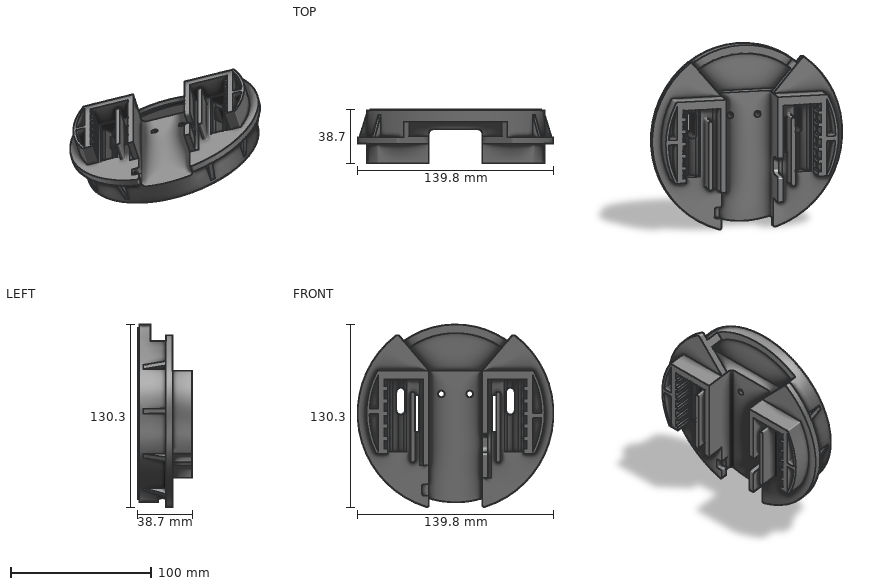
import cadquery as cq
import math

BLOCK_FRONT = -14.0
LEDGE_FRONT = -0.3
FLANGE_BACK = 4.7
FLANGE_INNER_BACK = 5.4
CHANNEL_FLOOR = 10.2
RIM_CUT_BACK = 15.6
RECESS_FLOOR = 18.0
BODY_BACK = 23.8
LIP_BACK = 24.71

FLANGE_RADIUS = 69.915
BODY_RADIUS = 63.5
LIP_RADIUS = 61.1
RECESS_RADIUS = 57.3

CHANNEL_HALF_WIDTH = 19.0
CHANNEL_FILLET = 3.0
CHANNEL_TOP = 30.6
OPENING_ANGLE = 49.6
UPPER_TIP_RADIUS = 2.0
LOWER_TIP_RADIUS = 1.5
BEYOND = 100.0
SELECT_MARGIN = 0.1

PIN_HOLE_DIAMETER = 4.6
PIN_HOLE_X = 10.1
PIN_HOLE_Z = 13.9

GUSSET_THICKNESS = 3.5
GUSSET_FOOT_RADIUS = 68.5
GUSSET_TIP_DEPTH = 20.8
GUSSET_SPACING = 30.0
GUSSET_OFFSET = -1.5
RIGHT_GUSSET_STEPS = [-2, -1, 0, 1]
LEFT_GUSSET_STEPS = [5, 6, 7, 8]
GUSSET_OVERLAP = 2.0

HOUSING_BOTTOM = -28.6
HOUSING_CORNER_RADIUS = 1.2
INNER_WALL_OUTSIDE = 22.95
POCKET_TOP = 24.3
RACK_FACE = 48.5
LEDGE_WIDTH = 2.6
LEFT_WALL_BOTTOM = -36.9
RIGHT_WALL_BOTTOM = -45.9

GAP_COUNT = 6
GAP_PITCH = 8.9
GAP_HEIGHT = 5.9
GAP_DEPTH = 2.2
LOWEST_GAP_BOTTOM = -25.3

CAVITY_INNER_X = 55.0
CAVITY_OUTER_RADIUS = 61.4
CAVITY_FILLET = 1.0
RIGHT_CROSSBAR_Z = -1.5
LEFT_CROSSBAR_Z = 1.5
CROSSBAR_THICKNESS = 3.4
CAVITY_TOP = 28.5
CAVITY_BOTTOM = -27.8

FIN_X = 30.45
FIN_THICKNESS = 3.1
FIN_TOP = 15.4
FIN_BOTTOM = -35.0
FIN_BASE_FILLET = 1.1

WINDOW_INNER_X = 26.3
WINDOW_HALF_HEIGHT = 12.9

TROUGH_X = 40.85
TROUGH_WIDTH = 12.4
TROUGH_TOP = 23.5
TROUGH_BOTTOM = -27.5
TROUGH_DEPTH = FLANGE_BACK
GROOVE_HALF_WIDTH = 4.05
GROOVE_BOTTOM = TROUGH_DEPTH + GROOVE_HALF_WIDTH

LONG_HOLE_X = 39.1
LONG_HOLE_WIDTH = 6.0
LONG_HOLE_TOP = 18.3
LONG_HOLE_BOTTOM = -0.8

NOTCH_CENTRE_Z = -21.4
NOTCH_HALF_WIDTH = 6.4
NOTCH_FLOOR_RADIUS = 4.4
NOTCH_MOUTH_RADIUS = 2.2

HOOK_OUTER_X = 24.0
HOOK_TOP = -50.5
HOOK_BOTTOM = -58.6
HOOK_RADIUS = 1.5
HOOK_MOUTH_RADIUS = 1.0
HOOK_FLOOR_RADIUS = 1.4


def plane_at(depth):
    return cq.Workplane("XZ", origin=(0, depth, 0))


def box_between(x_a, x_b, z_a, z_b, front, back):
    centre = ((x_a + x_b) / 2, (z_a + z_b) / 2)
    return plane_at(back).center(*centre).rect(abs(x_b - x_a), abs(z_b - z_a)).extrude(back - front)


def disc(radius, front, back):
    return plane_at(back).circle(radius).extrude(back - front)


def upright_slot(x, top, bottom, width, front, back):
    sketch = plane_at(back).center(x, (top + bottom) / 2)
    return sketch.slot2D(top - bottom, width, 90).extrude(back - front)


def within(low, high):
    """Select edges whose centres lie in the box from low to high."""
    low = tuple(value - SELECT_MARGIN for value in low)
    high = tuple(value + SELECT_MARGIN for value in high)
    return cq.selectors.BoxSelector(low, high)


def mirrored(shape):
    return shape.mirror("YZ")


def on_both_sides(shape):
    return shape.union(mirrored(shape))


def opening(front, back):
    """Channel-wide gap that spreads into a V above the channel top."""
    rise = BEYOND * math.tan(math.radians(OPENING_ANGLE))
    outline = [
        (CHANNEL_HALF_WIDTH, CHANNEL_TOP),
        (CHANNEL_HALF_WIDTH + BEYOND, CHANNEL_TOP + rise),
        (-CHANNEL_HALF_WIDTH - BEYOND, CHANNEL_TOP + rise),
        (-CHANNEL_HALF_WIDTH, CHANNEL_TOP),
    ]
    return plane_at(back).polyline(outline).close().extrude(back - front)


def channel():
    cutter = box_between(
        -CHANNEL_HALF_WIDTH, CHANNEL_HALF_WIDTH, -BEYOND, CHANNEL_TOP, BLOCK_FRONT, CHANNEL_FLOOR
    )
    return cutter.edges("|Z and >Y").fillet(CHANNEL_FILLET)


def flange():
    plate = disc(FLANGE_RADIUS, 0, FLANGE_BACK).cut(opening(0, FLANGE_BACK))
    plate = plate.cut(channel())
    plate = plate.edges("|Y").edges(">Z or >>Z[-2]").fillet(UPPER_TIP_RADIUS)
    return plate.edges("|Y").edges("<Z").fillet(LOWER_TIP_RADIUS)


def body():
    solid = disc(BODY_RADIUS, 0, BODY_BACK).union(disc(LIP_RADIUS, BODY_BACK, LIP_BACK))
    recess = disc(RECESS_RADIUS, FLANGE_INNER_BACK, RECESS_FLOOR)
    recess = recess.intersect(
        box_between(-BEYOND, BEYOND, CHANNEL_TOP, BEYOND, FLANGE_INNER_BACK, RECESS_FLOOR)
    )
    rim_cut = opening(0, RIM_CUT_BACK)
    return solid.cut(recess).cut(rim_cut).cut(channel())


def gussets():
    profile = [
        (BODY_RADIUS - GUSSET_OVERLAP, FLANGE_BACK),
        (GUSSET_FOOT_RADIUS, FLANGE_BACK),
        (BODY_RADIUS, GUSSET_TIP_DEPTH),
        (BODY_RADIUS - GUSSET_OVERLAP, GUSSET_TIP_DEPTH),
    ]
    gusset = cq.Workplane("XY").polyline(profile).close().extrude(GUSSET_THICKNESS / 2, both=True)
    ribs = cq.Workplane("XY")
    for step in RIGHT_GUSSET_STEPS + LEFT_GUSSET_STEPS:
        angle = GUSSET_OFFSET + step * GUSSET_SPACING
        ribs = ribs.add(gusset.rotate((0, 0, 0), (0, 1, 0), -angle))
    return ribs.combine()


def crescent_cavities(crossbar_z):
    crescent = disc(CAVITY_OUTER_RADIUS, BLOCK_FRONT, 0)
    cavities = cq.Workplane("XY")
    half_bar = CROSSBAR_THICKNESS / 2
    spans = [
        (CAVITY_BOTTOM, crossbar_z - half_bar, ">Z"),
        (crossbar_z + half_bar, CAVITY_TOP, "<Z"),
    ]
    for bottom, top, crossbar_side in spans:
        window = box_between(CAVITY_INNER_X, BEYOND, bottom, top, BLOCK_FRONT, 0)
        cavity = crescent.intersect(window)
        cavities = cavities.add(cavity.faces(crossbar_side).edges("|Y").fillet(CAVITY_FILLET))
    return cavities.combine()


def rack_gaps():
    gaps = cq.Workplane("XY")
    for index in range(GAP_COUNT):
        bottom = LOWEST_GAP_BOTTOM + index * GAP_PITCH
        top = min(bottom + GAP_HEIGHT, POCKET_TOP)
        gaps = gaps.add(
            box_between(RACK_FACE, RACK_FACE + GAP_DEPTH, bottom, top, BLOCK_FRONT, LEDGE_FRONT)
        )
    return gaps.combine()


def housing(wall_bottom, crossbar_z):
    """Right-hand housing: inner wall, top bar, toothed rack and rounded outer wall."""
    upper = box_between(CHANNEL_HALF_WIDTH, BEYOND, HOUSING_BOTTOM, CHANNEL_TOP, BLOCK_FRONT, 0)
    shell = disc(BODY_RADIUS, BLOCK_FRONT, 0).intersect(upper)
    shell = shell.edges("|Y").edges(within(
        (CAVITY_INNER_X, BLOCK_FRONT, -BEYOND), (BEYOND, 0, BEYOND)
    )).fillet(HOUSING_CORNER_RADIUS)
    shell = shell.cut(
        box_between(INNER_WALL_OUTSIDE, RACK_FACE, HOUSING_BOTTOM, POCKET_TOP, BLOCK_FRONT, 0)
    )
    wall = box_between(
        CHANNEL_HALF_WIDTH, INNER_WALL_OUTSIDE, wall_bottom, CHANNEL_TOP, BLOCK_FRONT, 0
    )
    ledge = box_between(
        INNER_WALL_OUTSIDE, INNER_WALL_OUTSIDE + LEDGE_WIDTH, wall_bottom, POCKET_TOP, LEDGE_FRONT, 0
    )
    return shell.union(wall).union(ledge).cut(crescent_cavities(crossbar_z)).cut(rack_gaps())


def wall_notch():
    """U-shaped cutter with a rounded floor and a flared mouth, running along X."""
    length = INNER_WALL_OUTSIDE - CHANNEL_HALF_WIDTH
    start = (CHANNEL_HALF_WIDTH + INNER_WALL_OUTSIDE) / 2
    depth = -BLOCK_FRONT
    half_mouth = NOTCH_HALF_WIDTH + NOTCH_MOUTH_RADIUS
    slot = cq.Workplane("XY").box(length, depth, 2 * NOTCH_HALF_WIDTH)
    slot = slot.edges("|X and >Y").fillet(NOTCH_FLOOR_RADIUS)
    mouth_y = (NOTCH_MOUTH_RADIUS - depth) / 2
    mouth = cq.Workplane("XY").box(length, NOTCH_MOUTH_RADIUS, 2 * half_mouth)
    mouth = mouth.translate((0, mouth_y, 0))
    for side in (-1, 1):
        corner = cq.Workplane("YZ").circle(NOTCH_MOUTH_RADIUS).extrude(length / 2, both=True)
        mouth = mouth.cut(corner.translate((0, NOTCH_MOUTH_RADIUS - depth / 2, side * half_mouth)))
    return slot.union(mouth).translate((start, BLOCK_FRONT / 2, NOTCH_CENTRE_Z))


def fin():
    return upright_slot(FIN_X, FIN_TOP, FIN_BOTTOM, FIN_THICKNESS, BLOCK_FRONT, 0)


def trough():
    half = TROUGH_WIDTH / 2
    profile = [
        (TROUGH_X - half, 0),
        (TROUGH_X + half, 0),
        (TROUGH_X + half, TROUGH_DEPTH),
        (TROUGH_X + GROOVE_HALF_WIDTH, TROUGH_DEPTH),
        (TROUGH_X, GROOVE_BOTTOM),
        (TROUGH_X - GROOVE_HALF_WIDTH, TROUGH_DEPTH),
        (TROUGH_X - half, TROUGH_DEPTH),
    ]
    base = cq.Workplane("XY", origin=(0, 0, TROUGH_BOTTOM))
    return base.polyline(profile).close().extrude(TROUGH_TOP - TROUGH_BOTTOM)


def side_openings():
    window = box_between(
        WINDOW_INNER_X, FIN_X - FIN_THICKNESS / 2, -WINDOW_HALF_HEIGHT, WINDOW_HALF_HEIGHT,
        BLOCK_FRONT, LIP_BACK,
    )
    long_hole = upright_slot(
        LONG_HOLE_X, LONG_HOLE_TOP, LONG_HOLE_BOTTOM, LONG_HOLE_WIDTH, 0, LIP_BACK
    )
    return on_both_sides(window.union(trough()).union(long_hole))


def pin_holes():
    sites = [(-PIN_HOLE_X, PIN_HOLE_Z), (PIN_HOLE_X, PIN_HOLE_Z)]
    sketch = plane_at(LIP_BACK).pushPoints(sites)
    return sketch.circle(PIN_HOLE_DIAMETER / 2).extrude(LIP_BACK)


def with_fin_fillets(solid):
    reach = FIN_THICKNESS / 2
    for side in (-1, 1):
        low = (side * FIN_X - reach, 0, FIN_BOTTOM)
        high = (side * FIN_X + reach, 0, FIN_TOP)
        solid = solid.edges(within(low, high)).fillet(FIN_BASE_FILLET)
    return solid


def with_hook_notch(solid):
    """Notch through the left half of the flange, with all its mouth edges rounded."""
    cutter = box_between(-HOOK_OUTER_X, 0, HOOK_BOTTOM, HOOK_TOP, 0, FLANGE_BACK)
    solid = solid.cut(cutter.edges("|Y and <X").fillet(HOOK_RADIUS))
    low = (-CHANNEL_HALF_WIDTH, 0, HOOK_BOTTOM)
    high = (-CHANNEL_HALF_WIDTH, FLANGE_BACK, HOOK_TOP)
    solid = solid.edges("|Y").edges(within(low, high)).fillet(HOOK_MOUTH_RADIUS)
    return solid.edges("|Z").edges(within(low, high)).fillet(HOOK_FLOOR_RADIUS)


base = with_hook_notch(body().union(flange()))
base = with_fin_fillets(base.union(on_both_sides(fin())))

result = base.union(gussets())
result = result.union(housing(RIGHT_WALL_BOTTOM, RIGHT_CROSSBAR_Z).cut(wall_notch()))
result = result.union(mirrored(housing(LEFT_WALL_BOTTOM, LEFT_CROSSBAR_Z)))
result = result.cut(side_openings()).cut(pin_holes())